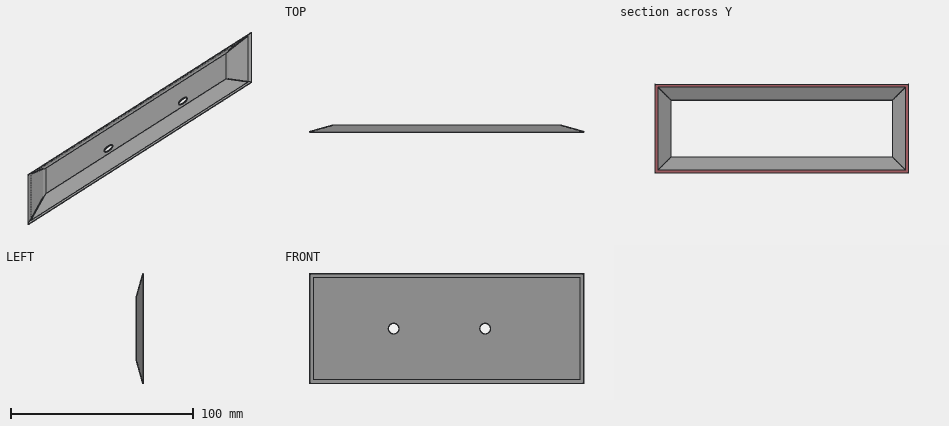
import cadquery as cq
import math

length = 150.0
depth = 4.0
height = 60.0

sheet_thickness = 0.5
bend_radius = 0.24
flange_angle = 15.7

hole_diameter = 5.7
hole_spacing = 50.0
hole_pair_center_x = -4.0

front_y = -depth / 2
back_y = depth / 2
slope = math.radians(flange_angle)


def outer_section(plane, width):
    """Outline across the panel: flat front, rounded folds, sides leaning inwards."""
    center_u = width / 2 - bend_radius
    center_y = front_y + bend_radius
    tangent_u = center_u + bend_radius * math.sin(slope)
    tangent_y = center_y + bend_radius * math.cos(slope)
    back_u = tangent_u - (back_y - tangent_y) / math.tan(slope)
    return (
        plane.moveTo(-center_u, front_y)
        .lineTo(center_u, front_y)
        .threePointArc((width / 2, center_y), (tangent_u, tangent_y))
        .lineTo(back_u, back_y)
        .lineTo(-back_u, back_y)
        .lineTo(-tangent_u, tangent_y)
        .threePointArc((-width / 2, center_y), (-center_u, front_y))
        .close()
    )


def inner_section(plane, width):
    """Outline of the space behind the front sheet and between the flanges, open at the back."""
    inner_y = front_y + sheet_thickness
    corner_u = width / 2 - bend_radius - (sheet_thickness - bend_radius) / math.tan(slope / 2)
    back_u = corner_u - (back_y - inner_y) / math.tan(slope)
    corners = [(-corner_u, inner_y), (corner_u, inner_y), (back_u, back_y), (-back_u, back_y)]
    return plane.polyline(corners).close()


def cross_prisms(section):
    """Body common to the section run along Z and the same section run along X."""
    along_z = section(cq.Workplane("XY"), length).extrude(height / 2, both=True)
    zy = cq.Workplane(cq.Plane(origin=(0, 0, 0), xDir=(0, 0, 1), normal=(-1, 0, 0)))
    along_x = section(zy, height).extrude(length / 2, both=True)
    return along_z.intersect(along_x)


def make_hole_cutters():
    """Cylinders through the full depth, one for each hole."""
    centers = [(hole_pair_center_x + side * hole_spacing / 2, 0) for side in (-1, 1)]
    return (
        cq.Workplane("XZ", origin=(0, front_y, 0))
        .pushPoints(centers)
        .circle(hole_diameter / 2)
        .extrude(-depth)
    )


result = cross_prisms(outer_section).cut(cross_prisms(inner_section)).cut(make_hole_cutters())